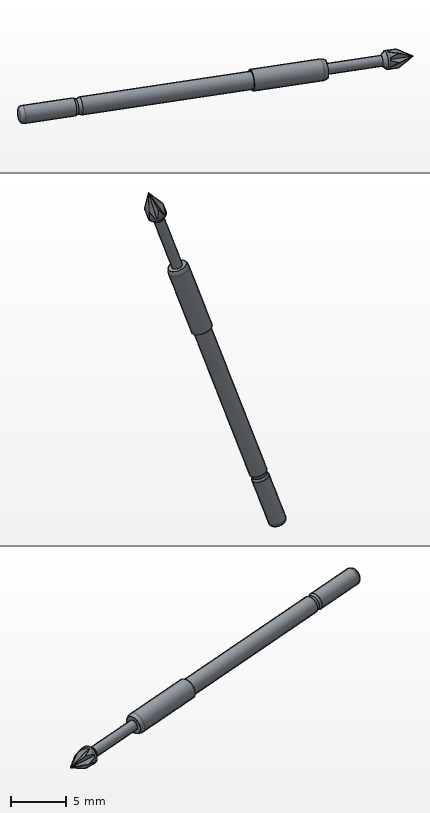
import cadquery as cq
import math

TOTAL_LENGTH = 37.3
TIP_Y = TOTAL_LENGTH / 2

HEAD_RADIUS = 0.87
HEAD_RIM = 2.6
HEAD_BACK = 3.0
RIB_COUNT = 6
STAR_LENGTH = 2.37
RIB_SLOPE = 0.58
VALLEY_BACK_RADIUS = 0.79

ROD_RADIUS = 0.5

SLEEVE_RADIUS = 2.0 / 2
SLEEVE_FRONT = 8.27
SLEEVE_BACK = 15.3
LEAD_LENGTH = 0.43
LEAD_DEPTH = 0.12

BARREL_RADIUS = 0.83
GROOVE_RADIUS = 0.72
GROOVE_FRONT = 31.5
GROOVE_FLOOR = 31.85
GROOVE_BACK = 32.1
END_ROUND = 0.4


def station(distance):
    """Y coordinate at a distance back from the contact tip."""
    return TIP_Y - distance


def on_profile(radius, distance):
    """Profile point on the -X side of the axis."""
    return (-radius, station(distance))


def tangent_arc_middle(radius, distance, rise, run):
    """Middle of an arc leaving (radius, distance) parallel to the axis.

    The arc ends "rise" further out from the axis and "run" further back;
    negative values lead inwards and towards the tip.
    """
    arc_radius = (rise**2 + run**2) / (2 * abs(rise))
    half_sweep = math.atan2(abs(rise), abs(run))
    middle_rise = math.copysign(arc_radius * (1 - math.cos(half_sweep)), rise)
    middle_run = math.copysign(arc_radius * math.sin(half_sweep), run)
    return on_profile(radius + middle_rise, distance + middle_run)


def turned_body():
    """Everything behind the star point, revolved about the Y axis."""
    groove_depth = BARREL_RADIUS - GROOVE_RADIUS
    groove_entry = GROOVE_FLOOR - GROOVE_FRONT
    lead_back = SLEEVE_FRONT + LEAD_LENGTH
    profile = (
        cq.Workplane("XY")
        .moveTo(*on_profile(0, STAR_LENGTH))
        .lineTo(*on_profile(HEAD_RADIUS, STAR_LENGTH))
        .lineTo(*on_profile(HEAD_RADIUS, HEAD_RIM))
        .lineTo(*on_profile(ROD_RADIUS, HEAD_BACK))
        .lineTo(*on_profile(ROD_RADIUS, SLEEVE_FRONT))
        .lineTo(*on_profile(SLEEVE_RADIUS - LEAD_DEPTH, SLEEVE_FRONT))
        .threePointArc(
            tangent_arc_middle(SLEEVE_RADIUS, lead_back, -LEAD_DEPTH, -LEAD_LENGTH),
            on_profile(SLEEVE_RADIUS, lead_back),
        )
        .lineTo(*on_profile(SLEEVE_RADIUS, SLEEVE_BACK))
        .lineTo(*on_profile(BARREL_RADIUS, SLEEVE_BACK))
        .lineTo(*on_profile(BARREL_RADIUS, GROOVE_FRONT))
        .threePointArc(
            tangent_arc_middle(GROOVE_RADIUS, GROOVE_FLOOR, groove_depth, -groove_entry),
            on_profile(GROOVE_RADIUS, GROOVE_FLOOR),
        )
        .lineTo(*on_profile(BARREL_RADIUS, GROOVE_BACK))
        .lineTo(*on_profile(BARREL_RADIUS, TOTAL_LENGTH - END_ROUND))
        .threePointArc(
            tangent_arc_middle(BARREL_RADIUS, TOTAL_LENGTH - END_ROUND, -END_ROUND, END_ROUND),
            on_profile(BARREL_RADIUS - END_ROUND, TOTAL_LENGTH),
        )
        .lineTo(*on_profile(0, TOTAL_LENGTH))
        .close()
    )
    return profile.revolve(360, (0, 0, 0), (0, 1, 0))


def star_pyramid():
    """Pointed star whose rib crests and flute valleys all meet at the tip."""
    rib_radius = RIB_SLOPE * STAR_LENGTH
    apex = cq.Vector(0, station(0), 0)
    corners = []
    for index in range(2 * RIB_COUNT):
        angle = math.pi * index / RIB_COUNT
        radius = rib_radius if index % 2 == 0 else VALLEY_BACK_RADIUS
        corners.append(
            cq.Vector(radius * math.cos(angle), station(STAR_LENGTH), radius * math.sin(angle))
        )
    faces = [cq.Face.makeFromWires(cq.Wire.makePolygon(corners, close=True))]
    for index, corner in enumerate(corners):
        flank = cq.Wire.makePolygon([corners[index - 1], corner, apex], close=True)
        faces.append(cq.Face.makeFromWires(flank))
    return cq.Workplane("XY").add(cq.Solid.makeSolid(cq.Shell.makeShell(faces)))


def star_point():
    """Star pyramid trimmed to the head diameter."""
    envelope = cq.Workplane("XZ", origin=(0, station(0), 0)).circle(HEAD_RADIUS).extrude(STAR_LENGTH)
    return envelope.intersect(star_pyramid())


result = turned_body().union(star_point(), clean=False)